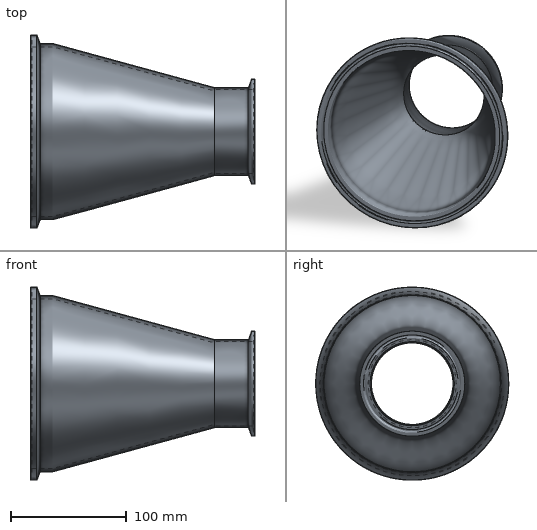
import cadquery as cq
import math

TOTAL_LENGTH = 193.7
LARGE_END_LENGTH = 19.0
SMALL_END_LENGTH = 34.9
CONE_END = TOTAL_LENGTH - SMALL_END_LENGTH

LARGE_TUBE_RADIUS = 152.5 / 2
LARGE_BORE_RADIUS = 146.8 / 2
LARGE_FLANGE_RADIUS = 167.0 / 2
SMALL_TUBE_RADIUS = 76.1 / 2
SMALL_BORE_RADIUS = 72.8 / 2
SMALL_FLANGE_RADIUS = 90.8 / 2

REDUCER_WALL = LARGE_TUBE_RADIUS - LARGE_BORE_RADIUS
CONE_EXIT_RADIUS = SMALL_TUBE_RADIUS - REDUCER_WALL

LARGE_RIM_WIDTH = 5.5
SMALL_RIM_WIDTH = 2.7
CLAMP_ANGLE = 20.0
GROOVE_WIDTH = 2.5
GROOVE_DEPTH = 1.2

EDGE_FILLET = 0.4
ROOT_FILLET = 0.8
LIP_FILLET = 0.5


def revolve_about_x(profile):
    """Turn a closed profile drawn in X and radius into a solid around the X axis."""
    return profile.close().revolve(360, (0, 0, 0), (1, 0, 0))


def fillet_circle(body, x, radius, fillet):
    """Round the circular edge at the given X and radius."""
    tolerance = 0.002
    edges = [
        edge
        for edge in body.edges("%CIRCLE").vals()
        if abs(edge.Center().x - x) < tolerance and abs(edge.radius() - radius) < tolerance
    ]
    return body.newObject(edges).fillet(fillet)


def slope_length(flange_radius, tube_radius):
    """Axial length of the sloped back of a clamp flange."""
    return (flange_radius - tube_radius) * math.tan(math.radians(CLAMP_ANGLE))


def finish_flange(body, face_x, inward, rim_width, flange_radius, tube_radius, bore_radius):
    """Cut the gasket groove into a flange face and round the edges of the flange.

    inward is the X direction (1 or -1) from the flange face into the part.
    """
    groove_middle = (flange_radius + bore_radius) / 2
    groove_inner = groove_middle - GROOVE_WIDTH / 2
    groove_outer = groove_middle + GROOVE_WIDTH / 2
    groove = revolve_about_x(
        cq.Workplane("XY")
        .moveTo(face_x, groove_inner)
        .threePointArc((face_x + inward * GROOVE_DEPTH, groove_middle), (face_x, groove_outer))
    )
    body = body.cut(groove)

    back_x = face_x + inward * rim_width
    root_x = back_x + inward * slope_length(flange_radius, tube_radius)
    body = fillet_circle(body, face_x, flange_radius, EDGE_FILLET)
    body = fillet_circle(body, back_x, flange_radius, EDGE_FILLET)
    body = fillet_circle(body, root_x, tube_radius, ROOT_FILLET)
    body = fillet_circle(body, face_x, bore_radius, EDGE_FILLET)
    for lip_radius in (groove_inner, groove_outer):
        body = fillet_circle(body, face_x, lip_radius, LIP_FILLET)
    return body


def make_reducer():
    """Large clamp flange, short straight tube and cone."""
    slope_end = LARGE_RIM_WIDTH + slope_length(LARGE_FLANGE_RADIUS, LARGE_TUBE_RADIUS)
    blank = revolve_about_x(
        cq.Workplane("XY")
        .moveTo(0, LARGE_BORE_RADIUS)
        .lineTo(0, LARGE_FLANGE_RADIUS)
        .lineTo(LARGE_RIM_WIDTH, LARGE_FLANGE_RADIUS)
        .lineTo(slope_end, LARGE_TUBE_RADIUS)
        .lineTo(LARGE_END_LENGTH, LARGE_TUBE_RADIUS)
        .lineTo(CONE_END, SMALL_TUBE_RADIUS)
        .lineTo(CONE_END, CONE_EXIT_RADIUS)
        .lineTo(LARGE_END_LENGTH, LARGE_BORE_RADIUS)
    )
    return finish_flange(
        blank, 0, 1, LARGE_RIM_WIDTH, LARGE_FLANGE_RADIUS, LARGE_TUBE_RADIUS, LARGE_BORE_RADIUS
    )


def make_ferrule():
    """Straight tube that meets the end of the cone, with the small clamp flange."""
    rim_start = TOTAL_LENGTH - SMALL_RIM_WIDTH
    slope_start = rim_start - slope_length(SMALL_FLANGE_RADIUS, SMALL_TUBE_RADIUS)
    blank = revolve_about_x(
        cq.Workplane("XY")
        .moveTo(CONE_END, SMALL_BORE_RADIUS)
        .lineTo(CONE_END, SMALL_TUBE_RADIUS)
        .lineTo(slope_start, SMALL_TUBE_RADIUS)
        .lineTo(rim_start, SMALL_FLANGE_RADIUS)
        .lineTo(TOTAL_LENGTH, SMALL_FLANGE_RADIUS)
        .lineTo(TOTAL_LENGTH, SMALL_BORE_RADIUS)
    )
    return finish_flange(
        blank, TOTAL_LENGTH, -1, SMALL_RIM_WIDTH, SMALL_FLANGE_RADIUS, SMALL_TUBE_RADIUS, SMALL_BORE_RADIUS
    )


reducer = make_reducer()
ferrule = make_ferrule()
result = cq.Compound.makeCompound([reducer.val(), ferrule.val()])